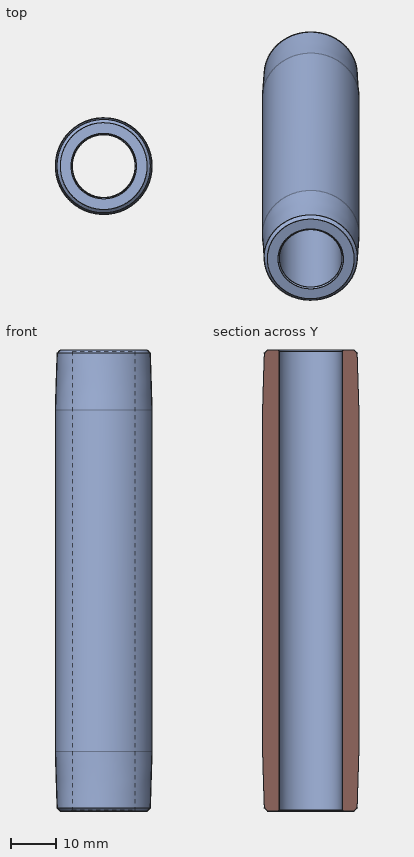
import cadquery as cq

length = 101.6
outer_diameter = 21.3
bore_diameter = 13.8
taper_length = 13.2
diameter_taper = 1 / 16
chamfer_height = 0.7
chamfer_width = 0.7
bore_chamfer_height = 0.3
bore_chamfer_width = 0.3

outer_radius = outer_diameter / 2
bore_radius = bore_diameter / 2
half_length = length / 2
taper_start = half_length - taper_length
chamfer_start = half_length - chamfer_height
taper_end_radius = outer_radius - (taper_length - chamfer_height) * diameter_taper / 2
bore_rim_radius = bore_radius + bore_chamfer_width
bore_chamfer_start = half_length - bore_chamfer_height
rim_radius = taper_end_radius - chamfer_width

wall_section = (
    cq.Workplane("XZ")
    .moveTo(bore_rim_radius, -half_length)
    .lineTo(rim_radius, -half_length)
    .lineTo(taper_end_radius, -chamfer_start)
    .lineTo(outer_radius, -taper_start)
    .lineTo(outer_radius, taper_start)
    .lineTo(taper_end_radius, chamfer_start)
    .lineTo(rim_radius, half_length)
    .lineTo(bore_rim_radius, half_length)
    .lineTo(bore_radius, bore_chamfer_start)
    .lineTo(bore_radius, -bore_chamfer_start)
    .close()
)

result = wall_section.revolve(360, (0, 0, 0), (0, 1, 0))